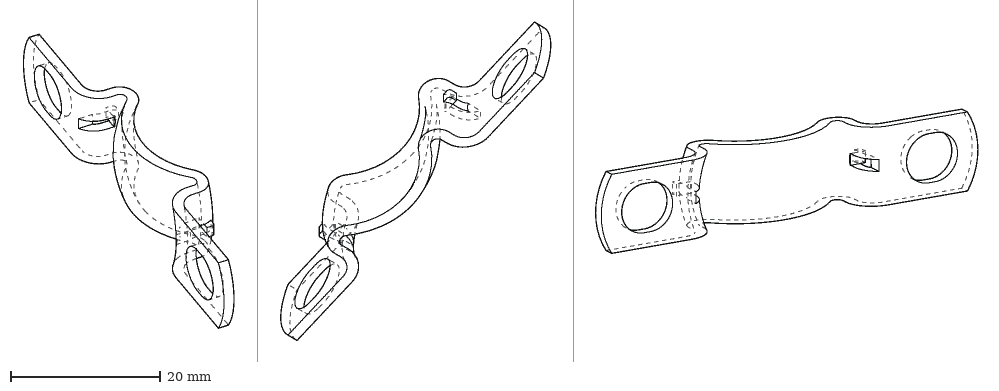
import cadquery as cq
import math

length = 58.75
width = 11.1
height = 7.15
sheet = 1.5
end_radius = 10.2

wall_inner_radius = 12.45
flange_bend_inner = 2.3
crest_bend_inner = 0.8
flange_bend_outer = flange_bend_inner + sheet
crest_bend_outer = crest_bend_inner + sheet
wall_outer_radius = wall_inner_radius + sheet
flange_start_radius = wall_inner_radius + flange_bend_outer
crest_radius = wall_inner_radius - crest_bend_inner
crest_center_y = height - crest_bend_outer
bowl_bottom_y = 0.2

hole_spacing = 44.4
hole_length = 7.95
hole_height = 6.9
hole_flat = hole_length - hole_height

tab_width = 1.65
tab_reach = 14.75
tab_bottom_y = 4.95
tab_top_y = 6.15
tab_round = 0.4
slot_reach = 14.3
slot_start = 12.4

rise = crest_center_y - bowl_bottom_y
bowl_outer = (rise**2 + crest_radius**2 - crest_bend_inner**2) / (2 * (rise + crest_bend_inner))
bowl_inner = bowl_outer - sheet
bowl_center_y = bowl_bottom_y + bowl_outer
bowl_angle = math.asin(crest_radius / (bowl_outer + crest_bend_inner))


def arc_point(center, radius, angle):
    """Point on an arc, with the angle measured from +X toward +Y."""
    return (center[0] + radius * math.cos(angle), center[1] + radius * math.sin(angle))


def make_dished_sheet():
    """Revolve the sheet section about the bowl axis."""
    flange_center = (flange_start_radius, flange_bend_outer)
    crest_center = (crest_radius, crest_center_y)
    bowl_center = (0, bowl_center_y)
    flange_mid_angle = math.radians(225)
    crest_end_angle = math.pi / 2 + bowl_angle
    crest_mid_angle = crest_end_angle / 2
    bowl_end_angle = bowl_angle - math.pi / 2
    bowl_mid_angle = bowl_angle / 2 - math.pi / 2
    section = (
        cq.Workplane("XY")
        .moveTo(length / 2, 0)
        .lineTo(flange_start_radius, 0)
        .threePointArc(
            arc_point(flange_center, flange_bend_outer, flange_mid_angle),
            (wall_inner_radius, flange_bend_outer),
        )
        .lineTo(wall_inner_radius, crest_center_y)
        .threePointArc(
            arc_point(crest_center, crest_bend_inner, crest_mid_angle),
            arc_point(crest_center, crest_bend_inner, crest_end_angle),
        )
        .threePointArc(
            arc_point(bowl_center, bowl_outer, bowl_mid_angle),
            (0, bowl_bottom_y),
        )
        .lineTo(0, bowl_bottom_y + sheet)
        .threePointArc(
            arc_point(bowl_center, bowl_inner, bowl_mid_angle),
            arc_point(bowl_center, bowl_inner, bowl_end_angle),
        )
        .threePointArc(
            arc_point(crest_center, crest_bend_outer, crest_mid_angle),
            (wall_outer_radius, crest_center_y),
        )
        .lineTo(wall_outer_radius, flange_bend_outer)
        .threePointArc(
            arc_point(flange_center, flange_bend_inner, flange_mid_angle),
            (flange_start_radius, sheet),
        )
        .lineTo(length / 2, sheet)
        .close()
    )
    return section.revolve(360, (0, 0), (0, 1))


def make_strip_blank():
    """Strip outline with arced ends, extruded through the full height."""
    end_drop = end_radius - math.sqrt(end_radius**2 - (width / 2) ** 2)
    corner_x = length / 2 - end_drop
    return (
        cq.Workplane("XZ")
        .moveTo(-corner_x, -width / 2)
        .lineTo(corner_x, -width / 2)
        .threePointArc((length / 2, 0), (corner_x, width / 2))
        .lineTo(-corner_x, width / 2)
        .threePointArc((-length / 2, 0), (-corner_x, -width / 2))
        .close()
        .extrude(-height)
    )


def make_mounting_holes():
    """Cutters for the two mounting holes."""
    centers = [(-hole_spacing / 2, 0), (hole_spacing / 2, 0)]
    slots = cq.Workplane("XZ").pushPoints(centers).slot2D(hole_flat + hole_height, hole_height)
    return slots.extrude(-sheet)


def make_tab():
    """Tab on the +X side, reaching outward through the wall."""
    tab = cq.Workplane("XY").box(
        tab_reach - slot_start,
        tab_top_y - tab_bottom_y,
        tab_width,
        centered=(False, False, True),
    )
    return tab.edges(">X and >Y").fillet(tab_round).translate((slot_start, tab_bottom_y, 0))


def make_tab_slot():
    """Cutter through the +X wall, below the tab."""
    slot = cq.Workplane("XY").box(
        slot_reach - slot_start,
        tab_bottom_y,
        tab_width,
        centered=(False, False, True),
    )
    return slot.translate((slot_start, 0, 0))


def mirrored_pair(body):
    """The body together with its mirror image across the bowl axis."""
    return body.union(body.mirror("YZ"))


result = make_dished_sheet().intersect(make_strip_blank())
result = result.cut(make_mounting_holes())
result = result.cut(mirrored_pair(make_tab_slot()))
result = result.union(mirrored_pair(make_tab()))